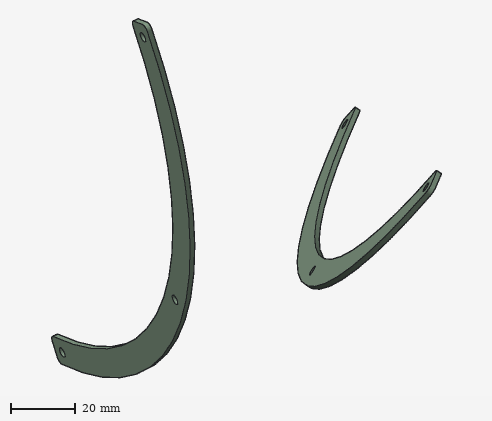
import cadquery as cq
import math

outer_radius = 150.0
band_width = 10.0
thickness = 1.75
start_angle = -60.0
end_angle = 34.0
corner_radius = 2.1
hole_diameter = 3.2
end_hole_inset = 5.0

inner_radius = outer_radius - band_width
middle_radius = outer_radius - band_width / 2
inset_angle = math.degrees(end_hole_inset / middle_radius)
mid_angle = (start_angle + end_angle) / 2
hole_angles = (start_angle + inset_angle, mid_angle, end_angle - inset_angle)


def polar(radius, angle):
    """Point at a radius and an angle in degrees about the arc centre."""
    return (radius * math.cos(math.radians(angle)), radius * math.sin(math.radians(angle)))


def curved_band():
    """Flat arc-shaped strip in the XZ plane with rounded end corners."""
    return (
        cq.Workplane("XZ")
        .moveTo(*polar(outer_radius, start_angle))
        .threePointArc(polar(outer_radius, mid_angle), polar(outer_radius, end_angle))
        .lineTo(*polar(inner_radius, end_angle))
        .threePointArc(polar(inner_radius, mid_angle), polar(inner_radius, start_angle))
        .close()
        .extrude(thickness)
        .edges("|Y")
        .fillet(corner_radius)
    )


def hole_pins():
    """Cylinders that cut the mounting holes along the band's centre line."""
    return (
        cq.Workplane("XZ")
        .pushPoints([polar(middle_radius, angle) for angle in hole_angles])
        .circle(hole_diameter / 2)
        .extrude(thickness)
    )


result = curved_band().cut(hole_pins())